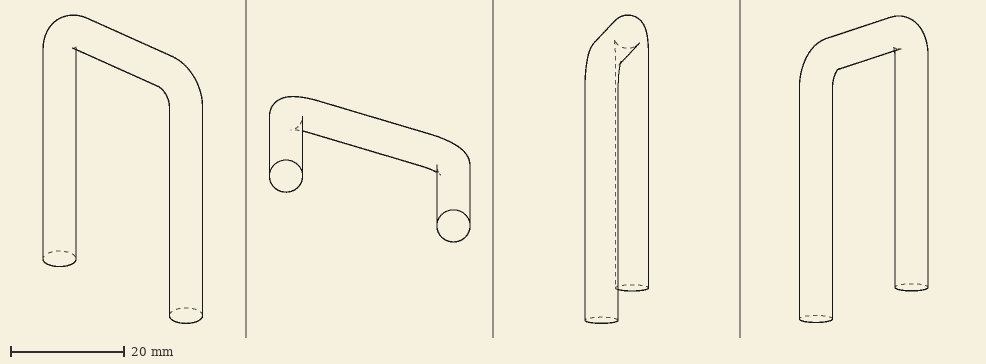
import cadquery as cq

width = 36.85
height = 49.95
rod_diameter = 5.9
outer_bend_radius = 8.05

rod_radius = rod_diameter / 2
bend_radius = outer_bend_radius - rod_radius
leg_x = width / 2 - rod_radius
top_z = height - rod_radius
leg_length = height - outer_bend_radius
bend_start_x = leg_x - bend_radius


def handle_centreline():
    """Up the left leg, across the top and down the right leg, in the XZ plane."""
    return (
        cq.Workplane("XZ")
        .moveTo(-leg_x, 0)
        .lineTo(-leg_x, leg_length)
        .radiusArc((-bend_start_x, top_z), bend_radius)
        .lineTo(bend_start_x, top_z)
        .radiusArc((leg_x, leg_length), bend_radius)
        .lineTo(leg_x, 0)
    )


rod_section = cq.Workplane("XY").center(-leg_x, 0).circle(rod_radius)
result = rod_section.sweep(handle_centreline())